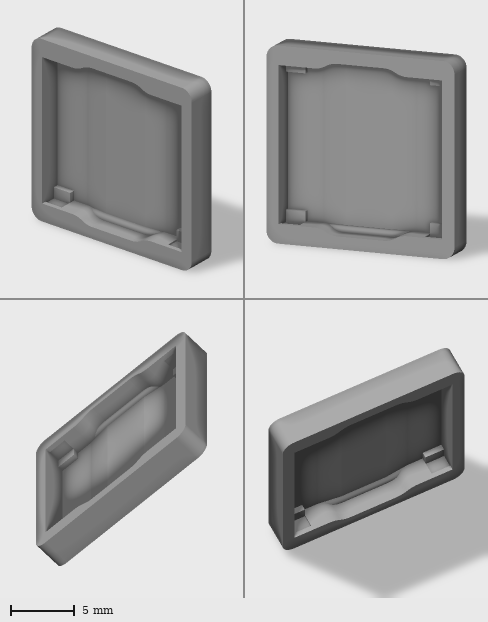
import cadquery as cq

side = 16.0
thickness = 2.5
corner_radius = 1.0

pocket_width = 13.92
pocket_height = 12.85
pocket_depth = 1.97
floor_rise = 0.22
ridge_base_width = 7.9
ridge_top_width = 3.92

notch_reach = 0.55
notch_base_width = ridge_base_width
notch_flat_width = ridge_top_width
sill_radius = 0.48

tab_width = 1.65
tab_height = 0.85
tab_thickness = 0.48
recess_front = 0.4
recess_reach = 0.15

front_y = -thickness / 2
floor_y = front_y + pocket_depth
tab_y = floor_y - tab_thickness
pocket_top = pocket_height / 2
notch_top = pocket_top + notch_reach


def box(x_range, y_range, z_range):
    """Box spanning the given (low, high) ranges."""
    lows, highs = zip(x_range, y_range, z_range)
    sizes = [high - low for low, high in zip(lows, highs)]
    return cq.Workplane("XY").box(*sizes, centered=False).translate(lows)


def make_pocket():
    """Pocket volume whose floor has a flat-topped ridge running along Z."""
    half_width = pocket_width / 2
    half_base = ridge_base_width / 2
    half_top = ridge_top_width / 2
    ridge_y = floor_y - floor_rise
    outline = [
        (-half_width, front_y),
        (-half_width, floor_y),
        (-half_base, floor_y),
        (-half_top, ridge_y),
        (half_top, ridge_y),
        (half_base, floor_y),
        (half_width, floor_y),
        (half_width, front_y),
    ]
    profile = cq.Workplane("XY", origin=(0, 0, -pocket_top)).polyline(outline).close()
    return profile.extrude(pocket_height)


def make_notch():
    """Upper notch: two tangent arcs at each end, with a quarter-round sill at the back."""
    half_base = notch_base_width / 2
    half_flat = notch_flat_width / 2
    middle = ((half_base + half_flat) / 2, (pocket_top + notch_top) / 2)
    half_notch = (
        cq.Workplane("XZ", origin=(0, front_y, 0))
        .moveTo(0, notch_top)
        .lineTo(half_flat, notch_top)
        .tangentArcPoint(middle, relative=False)
        .tangentArcPoint((half_base, pocket_top), relative=False)
        .lineTo(0, pocket_top)
        .close()
        .extrude(-pocket_depth)
    )
    notch = half_notch.union(half_notch.mirror("YZ"))
    sill = (
        cq.Workplane("YZ", origin=(-half_base, 0, 0))
        .center(floor_y, notch_top)
        .circle(sill_radius)
        .extrude(notch_base_width)
    )
    return notch.cut(sill)


def at_corners(cutter):
    """Copies of a solid from the upper right corner, mirrored to all four corners."""
    pair = cutter.union(cutter.mirror("YZ"))
    return pair.union(pair.mirror("XY"))


corner_x = (pocket_width / 2 - tab_width, pocket_width / 2)
tab = box(corner_x, (tab_y, floor_y), (pocket_top - tab_height, pocket_top))
recess = box(corner_x, (front_y + recess_front, tab_y), (pocket_top, pocket_top + recess_reach))

plate = cq.Workplane("XY").box(side, thickness, side).edges("|Y").fillet(corner_radius)
notch = make_notch()
result = (
    plate.cut(make_pocket())
    .cut(notch)
    .cut(notch.mirror("XY"))
    .union(at_corners(tab))
    .cut(at_corners(recess))
)